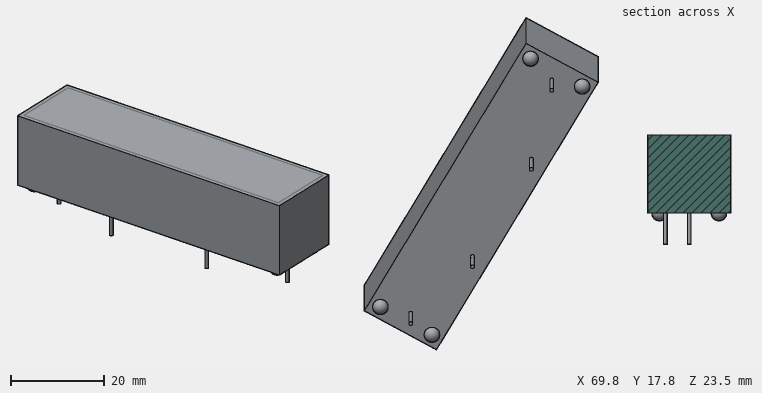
import cadquery as cq

length = 69.85
width = 17.8
total_height = 23.5
pin_length = 6.7
case_height = total_height - pin_length
wall = 1.0

pin_diameter = 0.85
outer_pin_x = 30.45
inner_pin_x = 12.7
inner_pin_y = -5.1

standoff_radius = 1.7
standoff_x = 32.4
standoff_y = 6.35

pin_root = wall


def case_shell():
    """Case sitting on the plane Z = 0, with an open-topped cavity."""
    block = cq.Workplane("XY").box(length, width, case_height, centered=(True, True, False))
    return block.cut(potting())


def potting():
    """Block of filler that fills the cavity level with the rim."""
    return (
        cq.Workplane("XY", origin=(0, 0, wall))
        .rect(length - 2 * wall, width - 2 * wall)
        .extrude(case_height - wall)
    )


def pins():
    """Four round pins hanging below the case."""
    centres = []
    for side in (-1, 1):
        centres.append((side * outer_pin_x, 0))
        centres.append((side * inner_pin_x, inner_pin_y))
    return (
        cq.Workplane("XY", origin=(0, 0, -pin_length))
        .pushPoints(centres)
        .circle(pin_diameter / 2)
        .extrude(pin_length + pin_root)
    )


def standoffs():
    """Half-ball feet near the corners; their upper halves merge into the case."""
    return (
        cq.Workplane("XY")
        .rect(2 * standoff_x, 2 * standoff_y, forConstruction=True)
        .vertices()
        .sphere(standoff_radius)
    )


result = case_shell().union(pins()).union(standoffs()).union(potting(), clean=False)